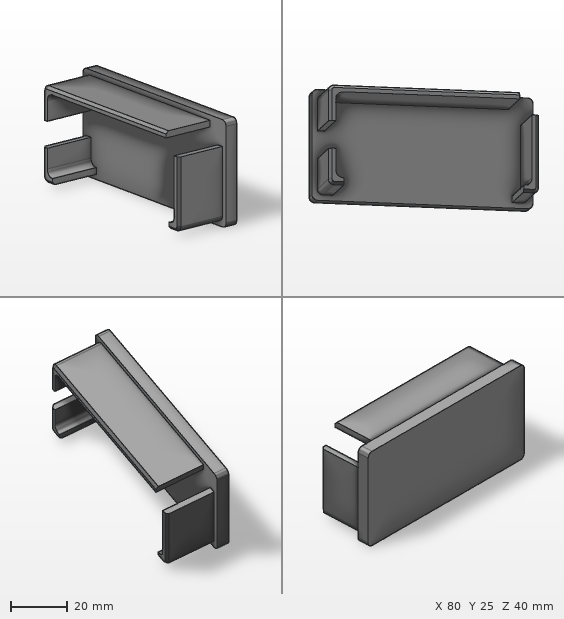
import cadquery as cq

plate_length = 80.0
plate_height = 40.0
plate_thickness = 5.0
plate_corner_radius = 2.0

wall_inset = 2.0
wall_thickness = 2.5
wall_depth = 20.0
wall_outer_radius = 2.0
wall_inner_radius = 2.8
rim_chamfer = 1.0

left_gap_height = 10.0
foot_end_offset = 7.5
top_wall_end_offset = 9.0
right_wall_end_offset = 10.0

half_length = plate_length / 2
half_height = plate_height / 2
wall_length = plate_length - 2 * wall_inset
wall_height = plate_height - 2 * wall_inset


def rounded_block(length, height, depth, corner_radius):
    """Block centred in XZ that grows from Y = 0 toward -Y, or toward +Y for a negative depth."""
    return cq.Workplane("XZ").rect(length, height).extrude(depth).edges("|Y").fillet(corner_radius)


def wall_gap(x_min, x_max, z_min, z_max):
    """Full-depth block that clears the wall between the given limits."""
    return (
        cq.Workplane("XZ")
        .moveTo((x_min + x_max) / 2, (z_min + z_max) / 2)
        .rect(x_max - x_min, z_max - z_min)
        .extrude(wall_depth)
    )


def plug_wall():
    """Closed ring with its outer rim chamfered."""
    outside = rounded_block(wall_length, wall_height, wall_depth, wall_outer_radius)
    outside = outside.faces("<Y").chamfer(rim_chamfer)
    inside = rounded_block(
        wall_length - 2 * wall_thickness,
        wall_height - 2 * wall_thickness,
        wall_depth,
        wall_inner_radius,
    )
    return outside.cut(inside)


left_gap = wall_gap(-half_length, 0, -left_gap_height / 2, left_gap_height / 2)

foot_end_x = half_length - foot_end_offset
bottom_gap = wall_gap(-foot_end_x, foot_end_x, -half_height, 0)

top_right_gap = wall_gap(
    half_length - top_wall_end_offset,
    half_length,
    half_height - right_wall_end_offset,
    half_height,
)

walls = plug_wall().cut(left_gap).cut(bottom_gap).cut(top_right_gap)
plate = rounded_block(plate_length, plate_height, -plate_thickness, plate_corner_radius)

result = plate.union(walls)